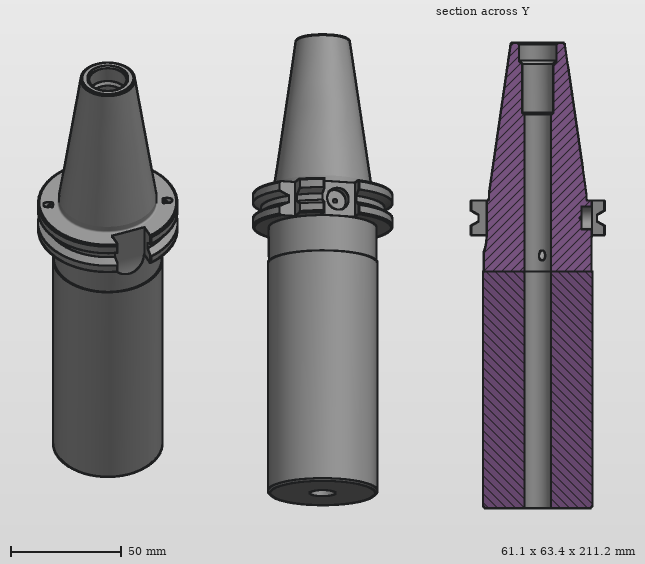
import cadquery as cq
import math

TOTAL_HEIGHT = 211.2
GAUGE_Z = 142.8
FLANGE_TOP_Z = 139.6
FLANGE_THICKNESS = 15.8
SHANK_TOP_Z = 107.3
FLANGE_BOTTOM_Z = FLANGE_TOP_Z - FLANGE_THICKNESS

TAPER_TOP_RADIUS = 12.3
GAUGE_RADIUS = 22.2
TAPER_TOP_CHAMFER = 0.6
TAPER_ROOT_FILLET = 0.8

FLANGE_RADIUS = 31.7
FLANGE_CHAMFER = 0.6
GROOVE_FLOOR_RADIUS = 28.0
GROOVE_MID_Z = 131.6
GROOVE_RIM_HALF_WIDTH = 3.5
GROOVE_FLOOR_HALF_WIDTH = 1.5

NECK_RADIUS = 24.5
SHANK_RADIUS = 25.0
SHANK_CHAMFER = 1.0

SLOT_WIDTH = 16.0
SLOT_EDGE_CHAMFER = 0.6
LEFT_SLOT_FLOOR_X = -24.5
RIGHT_SLOT_FLOOR_X = 23.2
RUNOUT_RADIUS = 23.2
NOTCH_OFFSET = 18.4

CHIP_RADIUS = 5.0
CHIP_DEPTH = 4.6
CHIP_CENTER_RADIUS = 0.8
CHIP_CENTER_DEPTH = 0.8
CHIP_Z = (FLANGE_TOP_Z + FLANGE_BOTTOM_Z) / 2

BORE_RADIUS = 6.0
THREAD_RADIUS = 7.0
THREAD_DEPTH = 31.7
COUNTERBORE_RADIUS = 8.5
COUNTERBORE_DEPTH = 8.2
BORE_CHAMFER = 0.8

COOLANT_RADIUS = 1.5
COOLANT_MOUTH_RADIUS = 2.0
COOLANT_MOUTH_DEPTH = 1.3
COOLANT_CIRCLE_RADIUS = 26.8
COOLANT_TILT = 40.0
COOLANT_ANGLES = (70.0, 250.0)

CLEARANCE = 2.1


def holder_blank():
    """Taper, grooved flange and neck turned as one piece."""
    taper_slope = (GAUGE_RADIUS - TAPER_TOP_RADIUS) / (TOTAL_HEIGHT - GAUGE_Z)
    chamfer_foot_radius = TAPER_TOP_RADIUS + TAPER_TOP_CHAMFER * taper_slope
    chamfered_flange_radius = FLANGE_RADIUS - FLANGE_CHAMFER
    outline = (
        cq.Workplane("XZ")
        .moveTo(0, SHANK_TOP_Z)
        .lineTo(NECK_RADIUS, SHANK_TOP_Z)
        .lineTo(NECK_RADIUS, FLANGE_BOTTOM_Z)
        .lineTo(chamfered_flange_radius, FLANGE_BOTTOM_Z)
        .lineTo(FLANGE_RADIUS, FLANGE_BOTTOM_Z + FLANGE_CHAMFER)
        .lineTo(FLANGE_RADIUS, GROOVE_MID_Z - GROOVE_RIM_HALF_WIDTH)
        .lineTo(GROOVE_FLOOR_RADIUS, GROOVE_MID_Z - GROOVE_FLOOR_HALF_WIDTH)
        .lineTo(GROOVE_FLOOR_RADIUS, GROOVE_MID_Z + GROOVE_FLOOR_HALF_WIDTH)
        .lineTo(FLANGE_RADIUS, GROOVE_MID_Z + GROOVE_RIM_HALF_WIDTH)
        .lineTo(FLANGE_RADIUS, FLANGE_TOP_Z - FLANGE_CHAMFER)
        .lineTo(chamfered_flange_radius, FLANGE_TOP_Z)
        .lineTo(GAUGE_RADIUS + TAPER_ROOT_FILLET, FLANGE_TOP_Z)
        .radiusArc((GAUGE_RADIUS, FLANGE_TOP_Z + TAPER_ROOT_FILLET), TAPER_ROOT_FILLET)
        .lineTo(GAUGE_RADIUS, GAUGE_Z)
        .lineTo(chamfer_foot_radius, TOTAL_HEIGHT - TAPER_TOP_CHAMFER)
        .lineTo(TAPER_TOP_RADIUS - TAPER_TOP_CHAMFER, TOTAL_HEIGHT)
        .lineTo(0, TOTAL_HEIGHT)
        .close()
    )
    return outline.revolve(360, (0, 0, 0), (0, 1, 0))


def bore_cutter():
    """Stepped bore: counterbore, thread core and through bore, joined by 45 degree cones."""
    counterbore_z = TOTAL_HEIGHT - COUNTERBORE_DEPTH
    thread_z = TOTAL_HEIGHT - THREAD_DEPTH
    outline = [
        (0, -CLEARANCE),
        (BORE_RADIUS, -CLEARANCE),
        (BORE_RADIUS, thread_z - (THREAD_RADIUS - BORE_RADIUS)),
        (THREAD_RADIUS, thread_z),
        (THREAD_RADIUS, counterbore_z - (COUNTERBORE_RADIUS - THREAD_RADIUS)),
        (COUNTERBORE_RADIUS, counterbore_z),
        (COUNTERBORE_RADIUS, TOTAL_HEIGHT - BORE_CHAMFER),
        (COUNTERBORE_RADIUS + BORE_CHAMFER, TOTAL_HEIGHT),
        (0, TOTAL_HEIGHT),
    ]
    return cq.Workplane("XZ").polyline(outline).close().revolve(360, (0, 0, 0), (0, 1, 0))


def slot_cutter(floor_x):
    """Drive slot through the flange, flared at its mouth to chamfer the outer corners."""
    side = math.copysign(1, floor_x)
    half_width = SLOT_WIDTH / 2
    outer_x = FLANGE_RADIUS + CLEARANCE
    rim_x = math.sqrt(FLANGE_RADIUS**2 - half_width**2)
    flare_x = rim_x - SLOT_EDGE_CHAMFER
    flare_half_width = half_width + outer_x - flare_x
    return (
        cq.Workplane("XY", origin=(0, 0, FLANGE_BOTTOM_Z))
        .moveTo(floor_x, -half_width)
        .lineTo(side * flare_x, -half_width)
        .lineTo(side * outer_x, -flare_half_width)
        .lineTo(side * outer_x, flare_half_width)
        .lineTo(side * flare_x, half_width)
        .lineTo(floor_x, half_width)
        .close()
        .extrude(FLANGE_THICKNESS)
    )


def runout_cutter():
    """Rounded end of the +X slot, fading out into the neck below the flange."""
    end_x = NECK_RADIUS + CLEARANCE
    arc_center_x = RIGHT_SLOT_FLOOR_X + RUNOUT_RADIUS
    end_z = FLANGE_BOTTOM_Z - math.sqrt(RUNOUT_RADIUS**2 - (arc_center_x - end_x) ** 2)
    return (
        cq.Workplane("XZ")
        .moveTo(RIGHT_SLOT_FLOOR_X, FLANGE_BOTTOM_Z)
        .radiusArc((end_x, end_z), -RUNOUT_RADIUS)
        .lineTo(end_x, FLANGE_BOTTOM_Z)
        .close()
        .extrude(SLOT_WIDTH / 2, both=True)
    )


def notch_cutter():
    """Square notch through the flange at the -X +Y corner."""
    size = FLANGE_RADIUS - NOTCH_OFFSET
    return cq.Workplane("XY").box(size, size, FLANGE_THICKNESS, centered=False).translate(
        (-FLANGE_RADIUS, NOTCH_OFFSET, FLANGE_BOTTOM_Z)
    )


def chip_cutter():
    """Round pocket in the -X slot floor with a small conical centre mark in its bottom."""
    floor = cq.Workplane("YZ", origin=(LEFT_SLOT_FLOOR_X, 0, CHIP_Z))
    pocket = floor.circle(CHIP_RADIUS).extrude(CHIP_DEPTH)
    pocket_bottom = cq.Vector(LEFT_SLOT_FLOOR_X + CHIP_DEPTH, 0, CHIP_Z)
    center_mark = cq.Solid.makeCone(
        CHIP_CENTER_RADIUS, 0, CHIP_CENTER_DEPTH, pocket_bottom, cq.Vector(1, 0, 0)
    )
    return pocket.union(cq.Workplane(center_mark))


def coolant_cutter(angle):
    """Counterbored hole through the flange face, slanting down and inwards to the Z axis."""
    turn = math.radians(angle)
    tilt = math.radians(COOLANT_TILT)
    outward = cq.Vector(math.cos(turn), math.sin(turn), 0)
    entry = outward * COOLANT_CIRCLE_RADIUS + cq.Vector(0, 0, FLANGE_TOP_Z)
    direction = outward * -math.sin(tilt) - cq.Vector(0, 0, math.cos(tilt))
    length = COOLANT_CIRCLE_RADIUS / math.sin(tilt)
    start = entry - direction * CLEARANCE
    hole = cq.Solid.makeCylinder(COOLANT_RADIUS, length + CLEARANCE, start, direction)
    mouth_length = COOLANT_MOUTH_DEPTH + CLEARANCE
    mouth = cq.Solid.makeCylinder(COOLANT_MOUTH_RADIUS, mouth_length, start, direction)
    return cq.Workplane(hole).union(cq.Workplane(mouth))


def build_holder():
    """Taper, flange and neck with all their cuts."""
    body = holder_blank().cut(bore_cutter())
    for floor_x in (LEFT_SLOT_FLOOR_X, RIGHT_SLOT_FLOOR_X):
        body = body.cut(slot_cutter(floor_x))
    body = body.cut(runout_cutter()).cut(notch_cutter()).cut(chip_cutter())
    for angle in COOLANT_ANGLES:
        body = body.cut(coolant_cutter(angle))
    return body


def build_shank():
    """Round shank under the neck, chamfered at the bottom and bored through."""
    bar = cq.Workplane("XY").circle(SHANK_RADIUS).extrude(SHANK_TOP_Z)
    return bar.faces("<Z").chamfer(SHANK_CHAMFER).cut(bore_cutter())


holder = build_holder()
shank = build_shank()

result = cq.Compound.makeCompound([holder.val(), shank.val()])